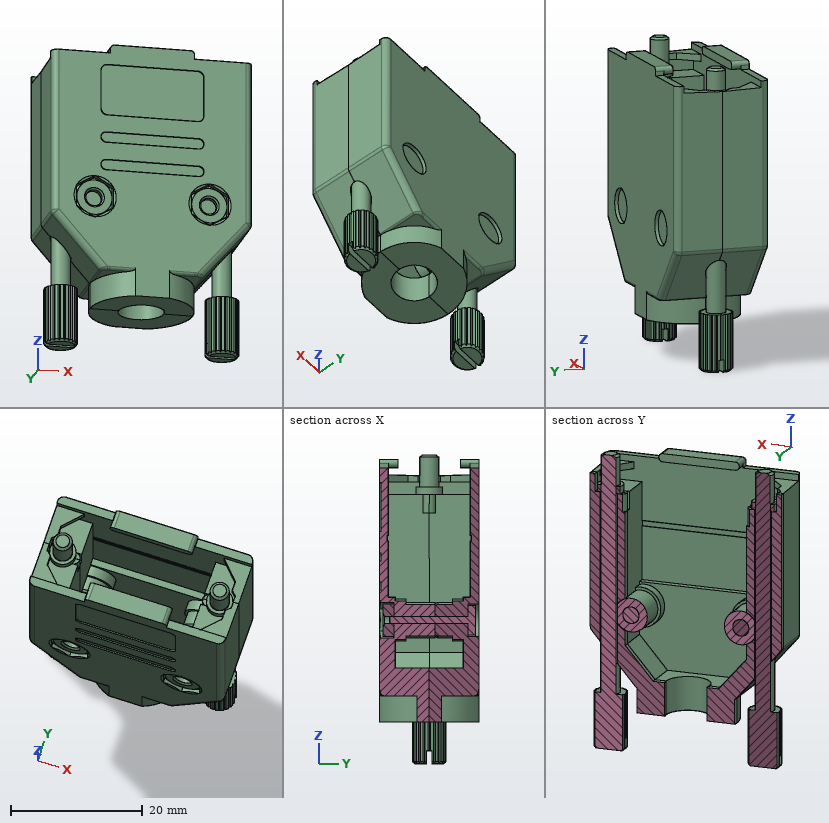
import cadquery as cq
import math

HOOD_WIDTH = 31.3
HOOD_DEPTH = 15.2
SCREW_TOP = 47.0
half_width = HOOD_WIDTH / 2
half_depth = HOOD_DEPTH / 2

RIM_TOP = 45.03
SLOPE_TOP = 19.0
SHOULDER_BOTTOM = 10.3
NECK_BOTTOM = 6.35
NECK_RADIUS = 8.05
NECK_BURIED = 1.18
FACE_EDGE_FILLET = 1.05
SIDE_CORNER_FILLET = 0.95
SHOULDER_FILLET = 0.45

FACE_WALL = 1.35
LOWER_FACE_WALL = 2.45
SIDE_WALL = 0.9
LEDGE_HEIGHT = 25.4
BLOCK_TOP = 41.0
BLOCK_INNER_X = 9.85
NOSE_RADIUS = 0.95
NOSE_HEIGHT = 2.8
PLATE_BOTTOM = 42.9
PLATE_TOP_OUTER = 44.0
PLATE_TOP_MIDDLE = 43.8
FLOOR_HEIGHT = 11.75
FLOOR_HALF_WIDTH = 5.3
CABLE_HOLE_RADIUS = 3.52
INNER_GROOVE_BOTTOM = 33.95
INNER_GROOVE_WIDTH = 0.85
INNER_GROOVE_DEPTH = 0.15
upper_half_depth = half_depth - FACE_WALL
lower_half_depth = half_depth - LOWER_FACE_WALL
chamber_half_width = half_width - SIDE_WALL
slope_rise = (SLOPE_TOP - SHOULDER_BOTTOM) / (half_width - NECK_RADIUS)

PLATE_NECK_X = 14.0
PLATE_SLANT_X = 11.2
PLATE_NOTCH_HALF = 1.05
PLATE_NECK_SMALL_HALF = 1.75
PLATE_NECK_HALF = 3.25

TAB_WIDTH = 13.15
TAB_TOP = 46.35
TAB_REACH = 2.85
tab_height = TAB_TOP - RIM_TOP

RECESS_WIDTH = 16.07
RECESS_DEPTH = 0.25
LABEL_BOTTOM = 35.05
LABEL_HEIGHT = 8.1
LABEL_CORNER = 1.0
BAR_HEIGHT = 1.65
BAR_CENTERS = (31.5, 27.05)

THUMBSCREW_X = 12.6
SHANK_RADIUS = 1.5
THREAD_RADIUS = 1.45
TIP_CHAMFER_LENGTH = 0.35
TIP_CHAMFER_INSET = 0.4
KNOB_RADIUS = 2.6
KNOB_HEIGHT = 9.02
KNOB_CHAMFER = 0.38
KNURL_COUNT = 20
KNURL_DEPTH = 0.2
KNURL_HALF_WIDTH = 0.2
DRIVER_SLOT_WIDTH = 0.8
DRIVER_SLOT_DEPTH = 1.97
THUMBSCREW_CLEARANCE = 0.1
COLLAR_RADIUS = 2.0
COLLAR_HEIGHT = 1.18

CLAMP_X = 9.0
CLAMP_Z = 21.85
CLAMP_RADIUS = 1.25
POST_RADIUS = 2.73
POST_BASE_RADIUS = 3.2
POST_BASE_Y = 3.52
POST_JOINT_Y = 0.9
POST_END_CHAMFER = 0.4
POST_END_INSET = 0.2
NUT_FLATS = 5.5
NUT_THICKNESS = 1.65
NUT_SINK = 0.5
NUT_CHAMFER = 0.15
NUT_BORE_CHAMFER = 0.3
NUT_POCKET_FLATS = 5.8
POCKET_MOUTH_RADIUS = 3.3
POCKET_MOUTH_DEPTH = 0.15
SCREW_END_SINK = 1.05
HEAD_RADIUS = 2.6
HEAD_HEIGHT = 1.18
HEAD_CLEARANCE = 0.15
nut_face_y = NUT_SINK - half_depth
nut_seat_y = nut_face_y + NUT_THICKNESS
head_face_y = half_depth - NUT_SINK
head_seat_y = head_face_y - HEAD_HEIGHT


def block(x_range, y_range, z_range):
    """Box between the given limits."""
    size = [high - low for low, high in (x_range, y_range, z_range)]
    corner = (x_range[0], y_range[0], z_range[0])
    return cq.Workplane("XY").box(*size, centered=False).translate(corner)


def centered_block(half_x, half_y, z_range):
    return block((-half_x, half_x), (-half_y, half_y), z_range)


def upright_cylinder(x, radius, bottom, top):
    return cq.Workplane("XY", origin=(x, 0, bottom)).circle(radius).extrude(top - bottom)


def clamp_plane(x, y):
    """Sketch plane at a clamp screw axis, facing +Y."""
    return cq.Workplane(cq.Plane((x, y, CLAMP_Z), (1, 0, 0), (0, 1, 0)))


def clamp_cylinder(x, radius, y_start, y_end):
    return clamp_plane(x, y_start).circle(radius).extrude(y_end - y_start)


def clamp_hexagon(x, flats, y_start, y_end):
    """Hexagonal prism on a clamp screw axis, with two flats upright."""
    hexagon = clamp_plane(x, y_start).polygon(6, flats, circumscribed=True)
    return hexagon.extrude(y_end - y_start)


def outer_shell():
    outline = [
        (-half_width, RIM_TOP),
        (half_width, RIM_TOP),
        (half_width, SLOPE_TOP),
        (NECK_RADIUS, SHOULDER_BOTTOM),
        (-NECK_RADIUS, SHOULDER_BOTTOM),
        (-half_width, SLOPE_TOP),
    ]
    shell = cq.Workplane("XZ").polyline(outline).close().extrude(half_depth, both=True)
    side_corners = shell.faces("<X or >X").edges("<Z")
    shell = side_corners.fillet(SIDE_CORNER_FILLET)
    shell = shell.edges("|Z").fillet(FACE_EDGE_FILLET)
    return shell.faces("<Z").edges("|X").fillet(SHOULDER_FILLET)


def cable_neck():
    """Round cable entry with flats flush with the hood faces."""
    top = SHOULDER_BOTTOM + NECK_BURIED
    neck = upright_cylinder(0, NECK_RADIUS, NECK_BOTTOM, top)
    return neck.intersect(centered_block(NECK_RADIUS, half_depth, (NECK_BOTTOM, top)))


def wire_chamber():
    """Space between the screw blocks: sloped floor, thicker face walls below the ledge."""
    slope_end = FLOOR_HEIGHT + slope_rise * (BLOCK_INNER_X - FLOOR_HALF_WIDTH)
    outline = [
        (-FLOOR_HALF_WIDTH, FLOOR_HEIGHT),
        (FLOOR_HALF_WIDTH, FLOOR_HEIGHT),
        (BLOCK_INNER_X, slope_end),
        (BLOCK_INNER_X, RIM_TOP),
        (-BLOCK_INNER_X, RIM_TOP),
        (-BLOCK_INNER_X, slope_end),
    ]
    lower = cq.Workplane("XZ").polyline(outline).close().extrude(lower_half_depth, both=True)
    upper = centered_block(BLOCK_INNER_X, upper_half_depth, (LEDGE_HEIGHT, RIM_TOP))
    groove = centered_block(
        BLOCK_INNER_X,
        upper_half_depth + INNER_GROOVE_DEPTH,
        (INNER_GROOVE_BOTTOM, INNER_GROOVE_BOTTOM + INNER_GROOVE_WIDTH),
    )
    return lower.union(upper).union(groove)


def nose_clearance(side):
    """Square notch in a block's inner edge, leaving a round nose in its middle."""
    inner_end, outer_end = BLOCK_INNER_X, BLOCK_INNER_X + NOSE_RADIUS
    levels = (BLOCK_TOP - NOSE_HEIGHT, BLOCK_TOP)
    notch = block((inner_end, outer_end), (-NOSE_RADIUS, NOSE_RADIUS), levels)
    notch = notch.cut(upright_cylinder(outer_end, NOSE_RADIUS, *levels))
    return notch if side > 0 else notch.mirror("YZ")


def plate_opening():
    """Opening through the side plates, narrowing in steps towards each thumbscrew."""
    quarter = [
        (PLATE_SLANT_X, upper_half_depth),
        (PLATE_NECK_X, PLATE_NECK_HALF),
        (PLATE_NECK_X, PLATE_NECK_SMALL_HALF),
        (chamber_half_width, PLATE_NOTCH_HALF),
    ]
    right = quarter + [(x, -y) for x, y in reversed(quarter)]
    left = [(-x, -y) for x, y in right]
    opening = cq.Workplane("XY", origin=(0, 0, PLATE_BOTTOM)).polyline(right + left).close()
    return opening.extrude(RIM_TOP - PLATE_BOTTOM)


def side_lowering():
    """Lowers the side walls below the rim, falling slightly towards the middle."""
    profile = [
        (-upper_half_depth, RIM_TOP),
        (-upper_half_depth, PLATE_TOP_OUTER),
        (0, PLATE_TOP_MIDDLE),
        (upper_half_depth, PLATE_TOP_OUTER),
        (upper_half_depth, RIM_TOP),
    ]
    return cq.Workplane("YZ").polyline(profile).close().extrude(half_width, both=True)


def latch_tabs():
    """Tabs on the rim of each face, reaching inwards with rounded ends."""
    middle = (RIM_TOP + TAB_TOP) / 2
    bar = cq.Workplane("XZ", origin=(0, TAB_REACH - half_depth, middle))
    bar = bar.slot2D(TAB_WIDTH, tab_height).extrude(TAB_REACH)
    foot = block(
        (-TAB_WIDTH / 2, TAB_WIDTH / 2), (-half_depth, -upper_half_depth), (RIM_TOP, middle)
    )
    front = bar.union(foot)
    return front.union(front.mirror("XZ"))


def hood_body():
    """Both hood halves before they are parted."""
    body = outer_shell().union(cable_neck())
    body = body.cut(wire_chamber()).cut(plate_opening()).cut(side_lowering())
    body = body.cut(
        centered_block(chamber_half_width, upper_half_depth, (BLOCK_TOP, PLATE_BOTTOM))
    )
    body = body.cut(upright_cylinder(0, CABLE_HOLE_RADIUS, NECK_BOTTOM, FLOOR_HEIGHT))
    for side in (-1, 1):
        body = body.cut(nose_clearance(side))
    return body.union(latch_tabs())


def thumbscrew_bores():
    centers = [(-THUMBSCREW_X, 0), (THUMBSCREW_X, 0)]
    bores = cq.Workplane("XY", origin=(0, 0, NECK_BOTTOM)).pushPoints(centers)
    return bores.circle(SHANK_RADIUS + THUMBSCREW_CLEARANCE).extrude(BLOCK_TOP - NECK_BOTTOM)


def face_recesses():
    """Label field and two bars sunk into the front face."""
    floor = cq.Workplane("XZ", origin=(0, RECESS_DEPTH - half_depth, 0))
    label = (
        floor.center(0, LABEL_BOTTOM + LABEL_HEIGHT / 2)
        .rect(RECESS_WIDTH, LABEL_HEIGHT)
        .extrude(RECESS_DEPTH)
        .edges("|Y")
        .fillet(LABEL_CORNER)
    )
    bar_centers = [(0, z) for z in BAR_CENTERS]
    bars = floor.pushPoints(bar_centers).slot2D(RECESS_WIDTH, BAR_HEIGHT).extrude(RECESS_DEPTH)
    return label.union(bars)


def nut_pocket(x):
    """Hexagonal pocket with a conical mouth that cuts back its corners."""
    pocket = clamp_hexagon(x, NUT_POCKET_FLATS, -half_depth, nut_seat_y)
    mouth = (
        clamp_plane(x, -half_depth)
        .circle(POCKET_MOUTH_RADIUS)
        .workplane(offset=POCKET_MOUTH_DEPTH)
        .circle(NUT_POCKET_FLATS / 2)
        .loft()
    )
    return pocket.union(mouth)


def front_post(x):
    return clamp_cylinder(x, POST_RADIUS, -POST_BASE_Y, POST_JOINT_Y)


def front_half(body):
    half = body.intersect(block((-half_width, half_width), (-half_depth, 0), (0, SCREW_TOP)))
    half = half.cut(face_recesses())
    for x in (-CLAMP_X, CLAMP_X):
        half = half.union(clamp_cylinder(x, POST_BASE_RADIUS, -lower_half_depth, -POST_BASE_Y))
        half = half.union(front_post(x))
        half = half.cut(nut_pocket(x))
        half = half.cut(clamp_cylinder(x, CLAMP_RADIUS, -half_depth, POST_JOINT_Y))
    return half.cut(thumbscrew_bores())


def rear_half(body):
    half = body.intersect(block((-half_width, half_width), (0, half_depth), (0, SCREW_TOP)))
    for x in (-CLAMP_X, CLAMP_X):
        post = clamp_cylinder(x, POST_RADIUS, POST_JOINT_Y, POST_BASE_Y)
        half = half.union(post.faces("<Y").chamfer(POST_END_CHAMFER, POST_END_INSET))
        half = half.union(clamp_cylinder(x, POST_BASE_RADIUS, POST_BASE_Y, lower_half_depth))
        half = half.cut(front_post(x))
        half = half.cut(clamp_cylinder(x, CLAMP_RADIUS, 0, half_depth))
        half = half.cut(clamp_cylinder(x, HEAD_RADIUS + HEAD_CLEARANCE, head_seat_y, half_depth))
    return half.cut(thumbscrew_bores())


def knurled_prism(x):
    """Prism with V-grooves all round its outline."""
    groove_half_angle = KNURL_HALF_WIDTH / KNOB_RADIUS
    outline = []
    for i in range(KNURL_COUNT):
        middle = 2 * math.pi * i / KNURL_COUNT
        for angle, radius in (
            (middle - groove_half_angle, KNOB_RADIUS),
            (middle, KNOB_RADIUS - KNURL_DEPTH),
            (middle + groove_half_angle, KNOB_RADIUS),
        ):
            outline.append((radius * math.cos(angle), radius * math.sin(angle)))
    return cq.Workplane("XY", origin=(x, 0, 0)).polyline(outline).close().extrude(KNOB_HEIGHT)


def thumbscrew(x):
    knob_blank = upright_cylinder(x, KNOB_RADIUS, 0, KNOB_HEIGHT).faces("<Z").chamfer(KNOB_CHAMFER)
    knob = knurled_prism(x).intersect(knob_blank)
    driver_slot = centered_block(KNOB_RADIUS, DRIVER_SLOT_WIDTH / 2, (0, DRIVER_SLOT_DEPTH))
    knob = knob.cut(driver_slot.translate((x, 0, 0)))
    thread_start = BLOCK_TOP + COLLAR_HEIGHT
    shank = upright_cylinder(x, SHANK_RADIUS, KNOB_HEIGHT, thread_start)
    thread = upright_cylinder(x, THREAD_RADIUS, thread_start, SCREW_TOP)
    thread = thread.faces(">Z").chamfer(TIP_CHAMFER_LENGTH, TIP_CHAMFER_INSET)
    return knob.union(shank).union(thread)


def collar(x):
    """Retaining collar around a thumbscrew, resting on the block inside the hood."""
    ring = cq.Workplane("XY", origin=(x, 0, BLOCK_TOP)).circle(COLLAR_RADIUS).circle(SHANK_RADIUS)
    return ring.extrude(COLLAR_HEIGHT)


def clamp_nut(x):
    nut = clamp_hexagon(x, NUT_FLATS, nut_face_y, nut_seat_y)
    corner_radius = NUT_FLATS / math.sqrt(3)
    round_blank = clamp_cylinder(x, corner_radius, nut_face_y, nut_seat_y)
    corner_cut = corner_radius - NUT_FLATS / 2
    nut = nut.intersect(round_blank.faces("<Y").chamfer(NUT_CHAMFER, corner_cut))
    nut = nut.cut(clamp_cylinder(x, CLAMP_RADIUS, nut_face_y, nut_seat_y))
    bore_edge = nut.faces("<Y").edges(cq.selectors.RadiusNthSelector(0))
    return bore_edge.chamfer(NUT_BORE_CHAMFER)


def clamp_screw(x):
    body = clamp_cylinder(x, CLAMP_RADIUS, nut_face_y + SCREW_END_SINK, head_seat_y)
    return body.union(clamp_cylinder(x, HEAD_RADIUS, head_seat_y, head_face_y))


hood = hood_body()
hood_front = front_half(hood)
hood_rear = rear_half(hood)
thumbscrews = []
collars = []
for screw_x in (-THUMBSCREW_X, THUMBSCREW_X):
    thumbscrews.append(thumbscrew(screw_x).solids().val())
    collars.append(collar(screw_x).solids().val())
clamp_nuts = []
clamp_screws = []
for clamp_x in (-CLAMP_X, CLAMP_X):
    clamp_nuts.append(clamp_nut(clamp_x).solids().val())
    clamp_screws.append(clamp_screw(clamp_x).solids().val())

result = cq.Compound.makeCompound(
    [
        hood_front.solids().val(),
        hood_rear.solids().val(),
        *thumbscrews,
        *collars,
        *clamp_nuts,
        *clamp_screws,
    ]
)